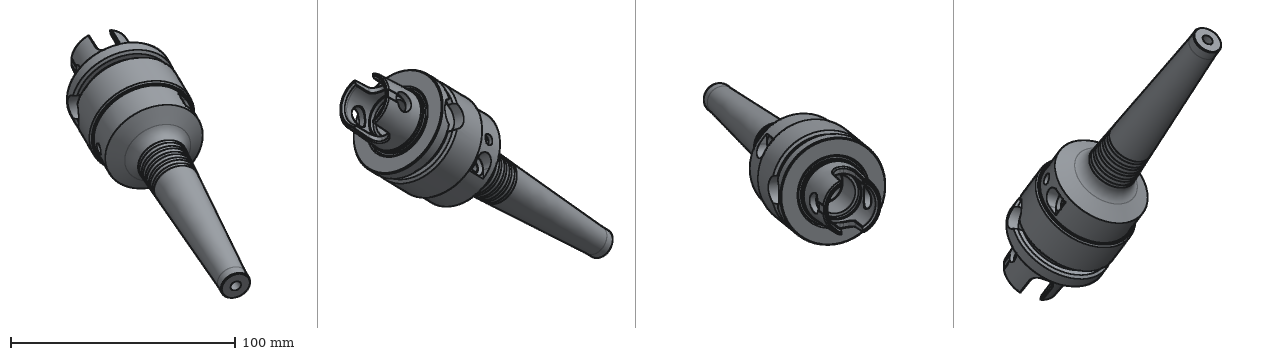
import cadquery as cq
import math


shank_end_x = -25.0
nose_x = 150.0

gauge_radius = 15.0
taper_ratio = 1 / 10
relief_start_x = -2.3
relief_end_x = -0.9
relief_depth = 0.3

face_groove_inner_radius = 15.2
face_groove_floor_radius = 16.2
face_groove_outer_radius = 17.0
face_groove_depth = 0.5

flange_radius = 25.0
flange_chamfer = 0.5
collar_chamfer = 0.8
collar_end_x = 30.3
grip_groove_x = 9.05
grip_groove_mouth = 5.8
grip_groove_floor_width = 4.0
grip_wall_angle = math.radians(30)
grip_groove_radius = 20.9

body_radius = 23.2
body_end_x = 45.1
body_root_chamfer = 0.3
cone_angle = math.radians(60)
neck_fillet = 8.0
neck_angle = math.radians(3)
nose_radius = 7.0
nose_length = 5.0
nose_chamfer = 0.4

ring_count = 5
ring_first_x = 55.95
ring_pitch = 4.05
ring_width = 1.75
ring_depth = 0.1

mouth_diameter = 22.4
mouth_chamfer = 1.0
mouth_lead_length = 1.0
mouth_lead_rise = 0.2
bore_steps = [
    (mouth_diameter, -6.5),
    (21.0, -4.0),
    (18.0, 12.0),
    (17.2, 20.0),
    (12.0, 24.0),
    (6.8, 32.0),
    (5.0, nose_x),
]

slot_width = 10.0
slot_end_x = -10.6
slot_end_flat = 1.6
slot_overrun = 1.0
rim_chamfer = 0.7
inner_rim_chamfer = 0.3

cross_hole_diameter = 9.5
cross_hole_x = -13.9
key_groove_width = 4.0
key_groove_depth = 0.3

recess_diameter = 14.0
recess_x = 8.9
recess_floor_y = 19.6

pocket_x = 37.0
pocket_z = 12.0
pocket_width = 9.5
pocket_floor_y = 16.2
countersink_diameter = 9.0
screw_seat_diameter = 6.0
countersink_depth = 1.5
screw_hole_diameter = 4.62
screw_hole_depth = 3.0

side_hole_diameter = 5.2
side_hole_x = 36.8
side_hole_z = -1.1
side_hole_depth = 2.0
side_socket_diameter = 2.31
side_socket_depth = 1.5
drill_half_angle = math.radians(59)

tolerance = 0.01


def shank_radius(x):
    return gauge_radius + x * taper_ratio / 2


def neck_radius(x):
    return nose_radius + (nose_x - nose_length - x) * math.tan(neck_angle)


def cylinder_y(diameter, x, z, y_start, y_end):
    """Cylinder along Y between two Y positions."""
    length = abs(y_end - y_start)
    tool = cq.Workplane("XZ").center(x, z).circle(diameter / 2).extrude(length)
    return tool.translate((0, max(y_start, y_end), 0))


def cone_y(base_diameter, tip_diameter, x, z, y_base, depth):
    """Cone on Y that narrows in the +Y direction from y_base."""
    solid = cq.Solid.makeCone(
        base_diameter / 2, tip_diameter / 2, depth, cq.Vector(x, y_base, z), cq.Vector(0, 1, 0)
    )
    return cq.Workplane(obj=solid)


def drilled_hole(diameter, x, z, y_start, depth):
    """Blind hole going in +Y with a drill-point bottom."""
    y_bottom = y_start + depth
    point_depth = diameter / 2 / math.tan(drill_half_angle)
    point = cone_y(diameter, 0, x, z, y_bottom, point_depth)
    return cylinder_y(diameter, x, z, y_start, y_bottom).union(point)


def half_turn(tool):
    """Copy of a tool turned by 180 degrees about the part axis."""
    return tool.rotate((0, 0, 0), (1, 0, 0), 180)


def revolve_x(profile):
    return profile.close().revolve(360, (0, 0, 0), (1, 0, 0))


def slot_tool():
    half_width = slot_width / 2
    half_flat = slot_end_flat / 2
    corner = half_width - half_flat
    arc_start_x = slot_end_x - corner
    bend = corner * math.sqrt(0.5)
    return (
        cq.Workplane("XY")
        .moveTo(shank_end_x - slot_overrun, -half_width)
        .lineTo(arc_start_x, -half_width)
        .threePointArc((arc_start_x + bend, -half_flat - bend), (slot_end_x, -half_flat))
        .lineTo(slot_end_x, half_flat)
        .threePointArc((arc_start_x + bend, half_flat + bend), (arc_start_x, half_width))
        .lineTo(shank_end_x - slot_overrun, half_width)
        .close()
        .extrude(2 * gauge_radius, both=True)
    )


def make_shank():
    """Taper shank with chamfered drive slots, solid apart from the slots."""
    shank = revolve_x(
        cq.Workplane("XY")
        .moveTo(shank_end_x, 0)
        .lineTo(shank_end_x, shank_radius(shank_end_x))
        .lineTo(relief_start_x, shank_radius(relief_start_x))
        .lineTo(relief_start_x, 0)
    )
    shank = shank.cut(slot_tool())
    rims = [
        edge
        for edge in shank.faces("%CONE").edges().vals()
        if edge.BoundingBox().xmax < (slot_end_x + relief_start_x) / 2
    ]
    return shank.newObject(rims).chamfer(rim_chamfer)


def make_body():
    """Flange, collar, body, cone and neck as one turned solid."""
    half_mouth = grip_groove_mouth / 2
    half_floor = grip_groove_floor_width / 2
    wall_radius = flange_radius - (half_mouth - half_floor) / math.tan(grip_wall_angle)
    cone_slope = math.tan(cone_angle)
    neck_slope = math.tan(neck_angle)
    corner_x = (body_radius + cone_slope * body_end_x - neck_radius(0)) / (cone_slope - neck_slope)
    tangent_length = neck_fillet * math.tan((cone_angle - neck_angle) / 2)
    turn_middle = (cone_angle + neck_angle) / 2
    centre_distance = neck_fillet / math.cos((cone_angle - neck_angle) / 2)
    corner_r = neck_radius(corner_x)
    arc_start = (
        corner_x - tangent_length * math.cos(cone_angle),
        corner_r + tangent_length * math.sin(cone_angle),
    )
    arc_middle = (
        corner_x + (centre_distance - neck_fillet) * math.sin(turn_middle),
        corner_r + (centre_distance - neck_fillet) * math.cos(turn_middle),
    )
    arc_end_x = corner_x + tangent_length * math.cos(neck_angle)
    nose_start_x = nose_x - nose_length
    return revolve_x(
        cq.Workplane("XY")
        .moveTo(relief_start_x, 0)
        .lineTo(relief_start_x, gauge_radius - relief_depth)
        .lineTo(relief_end_x, gauge_radius - relief_depth)
        .lineTo(relief_end_x, face_groove_inner_radius)
        .lineTo(face_groove_depth, face_groove_inner_radius)
        .lineTo(face_groove_depth, face_groove_floor_radius)
        .lineTo(0, face_groove_outer_radius)
        .lineTo(0, flange_radius - flange_chamfer)
        .lineTo(flange_chamfer, flange_radius)
        .lineTo(grip_groove_x - half_mouth, flange_radius)
        .lineTo(grip_groove_x - half_floor, wall_radius)
        .lineTo(grip_groove_x - half_floor, grip_groove_radius)
        .lineTo(grip_groove_x + half_floor, grip_groove_radius)
        .lineTo(grip_groove_x + half_floor, wall_radius)
        .lineTo(grip_groove_x + half_mouth, flange_radius)
        .lineTo(collar_end_x - collar_chamfer, flange_radius)
        .lineTo(collar_end_x, flange_radius - collar_chamfer)
        .lineTo(collar_end_x, body_radius + body_root_chamfer)
        .lineTo(collar_end_x + body_root_chamfer, body_radius)
        .lineTo(body_end_x, body_radius)
        .lineTo(*arc_start)
        .threePointArc(arc_middle, (arc_end_x, neck_radius(arc_end_x)))
        .lineTo(nose_start_x, nose_radius)
        .lineTo(nose_x - nose_chamfer, nose_radius)
        .lineTo(nose_x, nose_radius - nose_chamfer)
        .lineTo(nose_x, 0)
    )


def cut_marking_rings(part):
    for index in range(ring_count):
        start_x = ring_first_x + index * ring_pitch
        end_x = start_x + ring_width
        ring = revolve_x(
            cq.Workplane("XY")
            .moveTo(start_x, neck_radius(start_x) - ring_depth)
            .lineTo(end_x, neck_radius(end_x) - ring_depth)
            .lineTo(end_x, body_radius)
            .lineTo(start_x, body_radius)
        )
        part = part.cut(ring)
    return part


def cut_bore(part):
    mouth_radius = mouth_diameter / 2
    lead_start_x = shank_end_x + mouth_chamfer
    profile = (
        cq.Workplane("XY")
        .moveTo(shank_end_x, 0)
        .lineTo(shank_end_x, mouth_radius + mouth_lead_rise + mouth_chamfer)
        .lineTo(lead_start_x, mouth_radius + mouth_lead_rise)
        .lineTo(lead_start_x + mouth_lead_length, mouth_radius)
    )
    inner_diameters = [diameter for diameter, _ in bore_steps[1:]] + [0]
    for (diameter, end_x), next_diameter in zip(bore_steps, inner_diameters):
        profile = profile.lineTo(end_x, diameter / 2).lineTo(end_x, next_diameter / 2)
    return part.cut(revolve_x(profile))


def cut_shank_sides(part):
    groove_length = cross_hole_x - shank_end_x
    groove_floor = shank_radius(shank_end_x) - key_groove_depth
    groove = cq.Workplane("XY").box(
        groove_length, gauge_radius, key_groove_width, centered=(False, False, True)
    )
    groove = groove.translate((shank_end_x, groove_floor, 0))
    hole = cylinder_y(cross_hole_diameter, cross_hole_x, 0, -gauge_radius, gauge_radius)
    return part.cut(hole).cut(groove).cut(half_turn(groove))


def chamfer_inner_rims(part):
    """Break the edges that the slots and cross holes leave on the mouth bore."""
    lead_end_x = shank_end_x + mouth_chamfer + mouth_lead_length
    mouth_end_x = bore_steps[0][1]
    shank_walls = [
        face for face in part.faces("%CYLINDER").vals()
        if face.BoundingBox().xmax < mouth_end_x + tolerance
    ]
    bore_wall = max(shank_walls, key=lambda face: face.Area())
    rims = []
    for edge in bore_wall.Edges():
        middle = edge.Center()
        is_bore_end = min(abs(middle.x - lead_end_x), abs(middle.x - mouth_end_x)) < tolerance
        is_seam = edge.geomType() == "LINE" and abs(middle.z) < tolerance
        if not is_bore_end and not is_seam:
            rims.append(edge)
    return part.newObject(rims).chamfer(inner_rim_chamfer)


def cut_recesses(part):
    recess = cylinder_y(recess_diameter, recess_x, 0, recess_floor_y, flange_radius)
    return part.cut(recess).cut(half_turn(recess))


def cut_screw_pockets(part):
    """Pockets with a half-round end that run out of the body, each with a countersunk hole."""
    floor_y = -pocket_floor_y
    pocket = cylinder_y(pocket_width, pocket_x, -pocket_z, -body_radius, floor_y)
    run_out = cq.Workplane("XY").box(
        pocket_width, body_radius - pocket_floor_y, body_radius - pocket_z, centered=(True, False, False)
    )
    pocket = pocket.union(run_out.translate((pocket_x, -body_radius, -body_radius)))
    seat = cone_y(
        countersink_diameter, screw_seat_diameter, pocket_x, -pocket_z, floor_y, countersink_depth
    )
    hole = drilled_hole(
        screw_hole_diameter, pocket_x, -pocket_z, floor_y, countersink_depth + screw_hole_depth
    )
    for tool in (pocket, seat, hole):
        part = part.cut(tool).cut(half_turn(tool))
    return part


def cut_side_hole(part):
    """Flat-bottomed hole with a smaller socket in its floor."""
    floor_y = side_hole_depth - body_radius
    hole = cylinder_y(side_hole_diameter, side_hole_x, side_hole_z, -body_radius, floor_y)
    socket = drilled_hole(side_socket_diameter, side_hole_x, side_hole_z, floor_y, side_socket_depth)
    return part.cut(hole).cut(socket)


result = make_shank().union(make_body())
result = cut_bore(result)
result = cut_marking_rings(result)
result = cut_shank_sides(result)
result = chamfer_inner_rims(result)
result = cut_recesses(result)
result = cut_screw_pockets(result)
result = cut_side_hole(result)